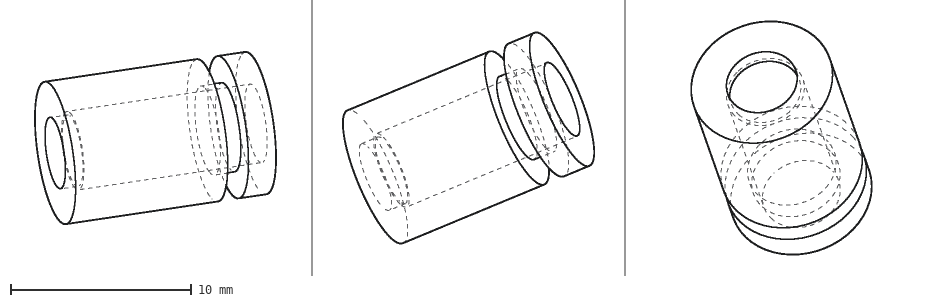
import cadquery as cq

outer_diameter = 8.0
neck_diameter = 5.0
bore_diameter = 4.0
relief_diameter = 4.4
total_length = 11.6
head_length = 1.6
groove_width = 1.2
bore_lip_length = 1.0

barrel_length = total_length - head_length - groove_width


def cylinder_along_y(diameter, start, length):
    """Solid cylinder centred on the Y axis, running from start towards +Y."""
    disc = cq.Workplane("XZ", origin=(0, start, 0)).circle(diameter / 2)
    return disc.extrude(-length)


barrel = cylinder_along_y(outer_diameter, 0, barrel_length)
neck = cylinder_along_y(neck_diameter, barrel_length, groove_width)
head = cylinder_along_y(outer_diameter, barrel_length + groove_width, head_length)

bore = cylinder_along_y(bore_diameter, 0, bore_lip_length)
relief = cylinder_along_y(relief_diameter, bore_lip_length, total_length - bore_lip_length)

result = barrel.union(neck).union(head).cut(bore).cut(relief)